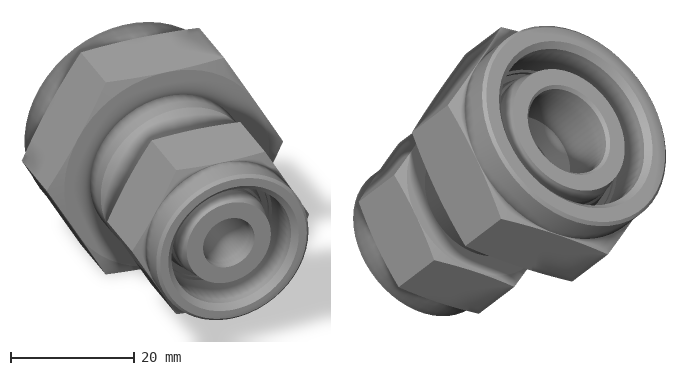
import cadquery as cq
import math

overall_length = 45.7

barrel_radius = 13.5
neck_radius = 10.0
taper_start = 22.0
taper_end = 25.5

through_radius = 4.52
socket_radius = 7.55
socket_depth = 10.95
socket_cone_half_angle = 60.0
socket_chamfer = 0.5

nose_recess = 2.0
nose_cone_half_angle = 12.0
nose_rim_drop = 2.6
nose_cone_end_drop = 1.95
seat_start_drop = 1.6
seat_end_drop = 1.0

left_hex_flats = 36.0
left_hex_length = 12.0
left_collar_radius = 17.9
left_collar_length = 5.5
right_hex_flats = 27.0
right_hex_length = 11.55
right_collar_radius = 13.4
right_collar_length = 4.9
hex_chamfer_angle = 15.0
collar_chamfer = 0.5
mouth_chamfer = 0.95
bore_clearance = 0.5
nut_bore_depth = 9.0
shoulder_setback = 0.6


def turned(profile):
    """Solid of revolution about X from (x, radius) points."""
    return cq.Workplane("XY").polyline(profile).close().revolve(360, (0, 0, 0), (1, 0, 0))


def mirrored(points):
    """The same (x, radius) points seen from the other end of the coupling, in reverse order."""
    return [(overall_length - x, radius) for x, radius in reversed(points)]


def make_nose(shoulder_radius):
    """Outline of a body end inside its nut, from the nose rim out to the shoulder."""
    shoulder_x = nut_bore_depth + shoulder_setback
    cone_slope = math.tan(math.radians(nose_cone_half_angle))
    nose_cone_length = (nose_rim_drop - nose_cone_end_drop) / cone_slope
    seat_start = shoulder_x - (seat_start_drop - seat_end_drop) / cone_slope
    step_length = nose_cone_end_drop - seat_start_drop
    return [
        (nose_recess, shoulder_radius - nose_rim_drop),
        (nose_recess + nose_cone_length, shoulder_radius - nose_cone_end_drop),
        (seat_start - step_length, shoulder_radius - nose_cone_end_drop),
        (seat_start, shoulder_radius - seat_start_drop),
        (shoulder_x, shoulder_radius - seat_end_drop),
        (shoulder_x, shoulder_radius),
    ]


def make_body():
    socket_end = nose_recess + socket_depth
    cone_length = (socket_radius - through_radius) / math.tan(math.radians(socket_cone_half_angle))
    bore = [
        (overall_length - nose_recess, through_radius),
        (socket_end + cone_length, through_radius),
        (socket_end, socket_radius),
        (nose_recess + socket_chamfer, socket_radius),
        (nose_recess, socket_radius + socket_chamfer),
    ]
    taper = [(taper_start, barrel_radius), (taper_end, neck_radius)]
    return turned(make_nose(barrel_radius) + taper + mirrored(make_nose(neck_radius)) + bore)


def make_hex(flats, start, length):
    """Hexagon along X with flats at top and bottom and its corners turned down at both ends."""
    corner_radius = flats / math.sqrt(3)
    flat_radius = flats / 2
    setback = (corner_radius - flat_radius) * math.tan(math.radians(hex_chamfer_angle))
    end = start + length
    prism = cq.Workplane("YZ").workplane(offset=start).polygon(6, 2 * corner_radius).extrude(length)
    envelope = turned([
        (start, 0),
        (start, flat_radius),
        (start + setback, corner_radius),
        (end - setback, corner_radius),
        (end, flat_radius),
        (end, 0),
    ])
    return prism.intersect(envelope)


def make_nut(hex_flats, hex_length, collar_radius, collar_length, body_radius):
    """Union nut with its collar and open mouth at x = 0."""
    nut_length = collar_length + hex_length
    bore_radius = body_radius + bore_clearance
    collar = turned([
        (0, 0),
        (0, collar_radius - collar_chamfer),
        (collar_chamfer, collar_radius),
        (collar_length, collar_radius),
        (collar_length, 0),
    ])
    cavity = turned([
        (0, 0),
        (0, bore_radius + mouth_chamfer),
        (mouth_chamfer, bore_radius),
        (nut_bore_depth, bore_radius),
        (nut_bore_depth, body_radius),
        (nut_length, body_radius),
        (nut_length, 0),
    ])
    return make_hex(hex_flats, collar_length, hex_length).union(collar).cut(cavity)


body = make_body()
left_nut = make_nut(
    left_hex_flats, left_hex_length, left_collar_radius, left_collar_length, barrel_radius
)
right_nut = make_nut(
    right_hex_flats, right_hex_length, right_collar_radius, right_collar_length, neck_radius
).mirror("YZ").translate((overall_length, 0, 0))

result = cq.Compound.makeCompound([body.val(), left_nut.val(), right_nut.val()])